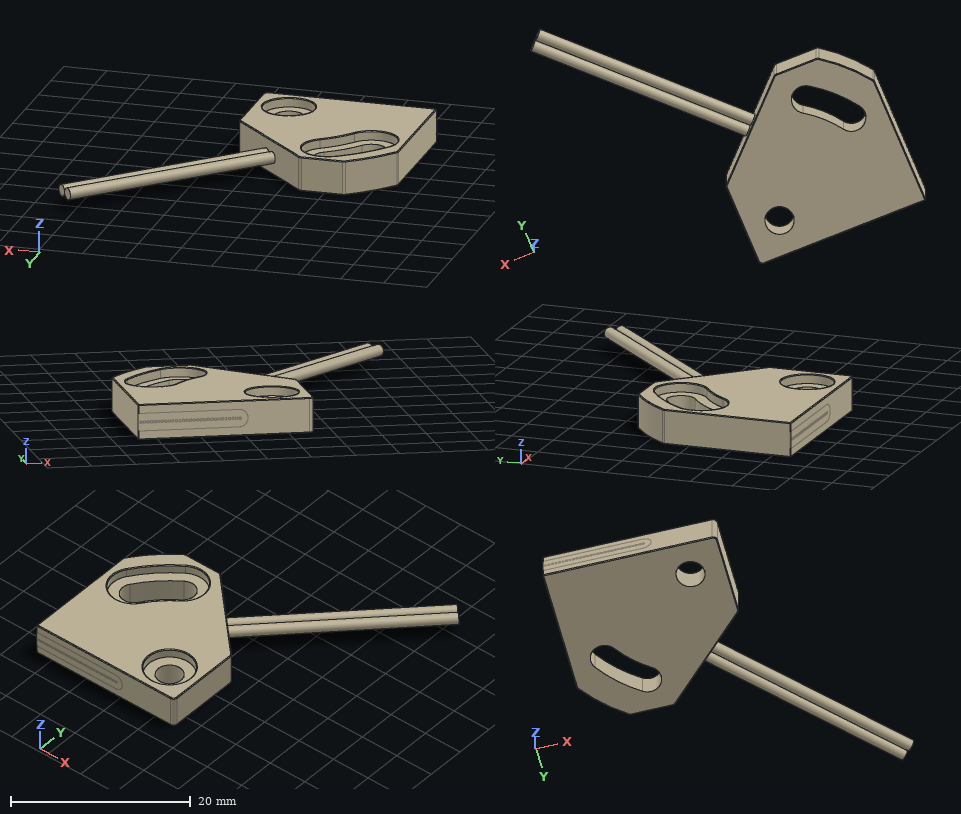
import cadquery as cq
import math

side = 20.0
thickness = 4.0
mid_height = thickness / 2
corner_cut = side / 2
corner_fillet = 0.5
edge_chamfer = 0.1

pivot_x = 16.0
pivot_y = 4.0
hole_radius = 1.6
head_radius = 3.0
head_depth = 1.1
slot_path_radius = 14.5
slot_mid_angle = 135
slot_half_sweep = 10.9
swing_radius = 19.5

window_width = 2.0
window_end_x = 11.5
window_depth = edge_chamfer
fibre_count = 29
first_fibre_x = 0.35
fibre_pitch = 0.4
fibre_diameter = 0.27

cable_diameter = 1.37
cable_gap = 0.005
cable_length = 25.95


def around_pivot(radius, angle):
    """Point at a polar position about the pivot hole."""
    a = math.radians(angle)
    return pivot_x + radius * math.cos(a), pivot_y + radius * math.sin(a)


def curved_slot(half_width, bottom, height):
    """Solid of a round-ended slot following the arc about the pivot."""
    start = slot_mid_angle - slot_half_sweep
    end = slot_mid_angle + slot_half_sweep
    outer = slot_path_radius + half_width
    inner = slot_path_radius - half_width
    cap_reach = math.hypot(slot_path_radius, half_width)
    cap_angle = math.degrees(math.atan2(half_width, slot_path_radius))
    return (
        cq.Workplane("XY", origin=(0, 0, bottom))
        .moveTo(*around_pivot(outer, start))
        .threePointArc(around_pivot(outer, slot_mid_angle), around_pivot(outer, end))
        .threePointArc(around_pivot(cap_reach, end + cap_angle), around_pivot(inner, end))
        .threePointArc(around_pivot(inner, slot_mid_angle), around_pivot(inner, start))
        .threePointArc(around_pivot(cap_reach, start - cap_angle), around_pivot(outer, start))
        .close()
        .extrude(height)
    )


def round_hole(radius, bottom, height):
    """Solid of a round hole at the pivot."""
    return cq.Workplane("XY", origin=(pivot_x, pivot_y, bottom)).circle(radius).extrude(height)


def make_block():
    """Block outline with rounded corners, screw recesses, broken edges and through holes."""
    swing_left_y = pivot_y + math.sqrt(swing_radius**2 - pivot_x**2)
    swing_top_x = pivot_x - math.sqrt(swing_radius**2 - (side - pivot_y) ** 2)
    block = (
        cq.Workplane("XY")
        .lineTo(side, 0)
        .lineTo(side, side - corner_cut)
        .lineTo(side - corner_cut, side)
        .lineTo(swing_top_x, side)
        .threePointArc(around_pivot(swing_radius, slot_mid_angle), (0, swing_left_y))
        .close()
        .extrude(thickness)
    )
    front_left = cq.selectors.NearestToPointSelector((0, 0, mid_height))
    block = block.edges(cq.selectors.SubtractSelector(cq.StringSyntaxSelector("|Z"), front_left))
    block = block.fillet(corner_fillet)
    block = block.edges(front_left).chamfer(edge_chamfer)

    recess_floor = thickness - head_depth
    block = block.cut(round_hole(head_radius, recess_floor, head_depth))
    block = block.cut(curved_slot(head_radius, recess_floor, head_depth))
    block = block.faces(">Z or <Z").edges().chamfer(edge_chamfer)

    block = block.cut(round_hole(hole_radius, 0, thickness))
    return block.cut(curved_slot(hole_radius, 0, thickness))


def make_window():
    """Flush insert, open at the left side and rounded at the other end."""
    half = window_width / 2
    return (
        cq.Workplane("XZ", origin=(0, 0, mid_height))
        .moveTo(0, -half)
        .lineTo(window_end_x, -half)
        .threePointArc((window_end_x + half, 0), (window_end_x, half))
        .lineTo(0, half)
        .close()
        .extrude(-window_depth)
    )


def make_fibres():
    """Row of fibre ends, flush with the window."""
    centres = [(first_fibre_x + i * fibre_pitch, 0) for i in range(fibre_count)]
    return (
        cq.Workplane("XZ", origin=(0, 0, mid_height))
        .pushPoints(centres)
        .circle(fibre_diameter / 2)
        .extrude(-window_depth)
    )


def make_cables():
    """Two parallel cables side by side on the middle of the 45 degree cut."""
    exit_xy = side - corner_cut / 2
    exit_plane = cq.Plane(origin=(exit_xy, exit_xy, mid_height), xDir=(1, -1, 0), normal=(1, 1, 0))
    offset = (cable_diameter + cable_gap) / 2
    return (
        cq.Workplane(exit_plane)
        .pushPoints([(-offset, 0), (offset, 0)])
        .circle(cable_diameter / 2)
        .extrude(cable_length)
    )


window = make_window()
fibres = make_fibres()
result = make_block().union(make_cables())
result = result.cut(window).union(window.cut(fibres), clean=False).union(fibres, clean=False)